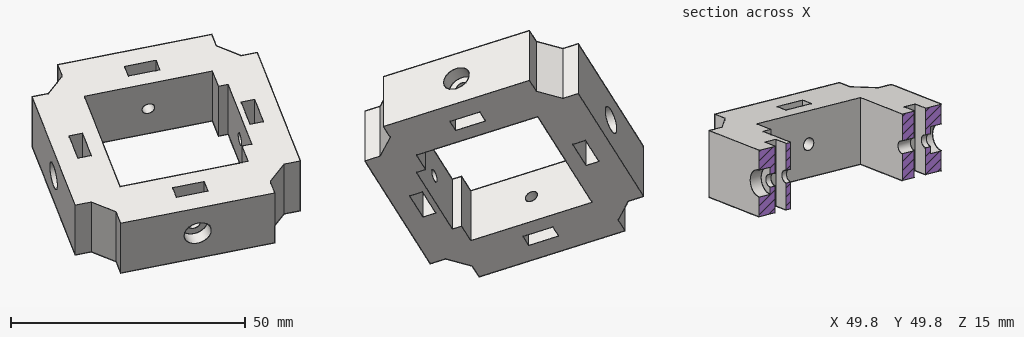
import cadquery as cq

side = 49.8
height = 15.0
flat_width = 34.05
corner_shoulder = 3.6

window = 28.3
recess_width = 18.7
recess_depth = 2.15

slot_length = 6.95
slot_width = 3.0
slot_offset = 19.0

screw_diameter = 2.8
head_diameter = 6.0
head_depth = 3.0


def make_frame():
    half = side / 2
    flat = flat_width / 2
    shoulder = half - corner_shoulder
    outline = [
        (half, -flat), (half, flat), (shoulder, flat), (flat, shoulder),
        (flat, half), (-flat, half), (-flat, shoulder), (-shoulder, flat),
        (-half, flat), (-half, -flat), (-shoulder, -flat), (-flat, -shoulder),
        (-flat, -half), (flat, -half), (flat, -shoulder), (shoulder, -flat),
    ]
    return cq.Workplane("XY").polyline(outline).close().extrude(height)


def make_window():
    opening = cq.Workplane("XY").rect(window, window).extrude(height)
    recess_length = window / 2 + recess_depth
    recess = (
        cq.Workplane("XY")
        .center(0, recess_length / 2)
        .rect(recess_width, recess_length)
        .extrude(height)
    )
    return opening.union(recess)


def make_side_cuts():
    """Nut slot and counterbored screw hole of the -Y side."""
    slot = (
        cq.Workplane("XY")
        .center(0, -slot_offset)
        .rect(slot_length, slot_width)
        .extrude(height)
    )
    outer_face = cq.Workplane("XZ", origin=(0, -side / 2, height / 2))
    screw = outer_face.circle(screw_diameter / 2).extrude(-side / 2)
    head = outer_face.circle(head_diameter / 2).extrude(-head_depth)
    return slot.union(screw).union(head)


result = make_frame().cut(make_window())
side_cuts = make_side_cuts()
for angle in (0, 90, 180, 270):
    result = result.cut(side_cuts.rotate((0, 0, 0), (0, 0, 1), angle))